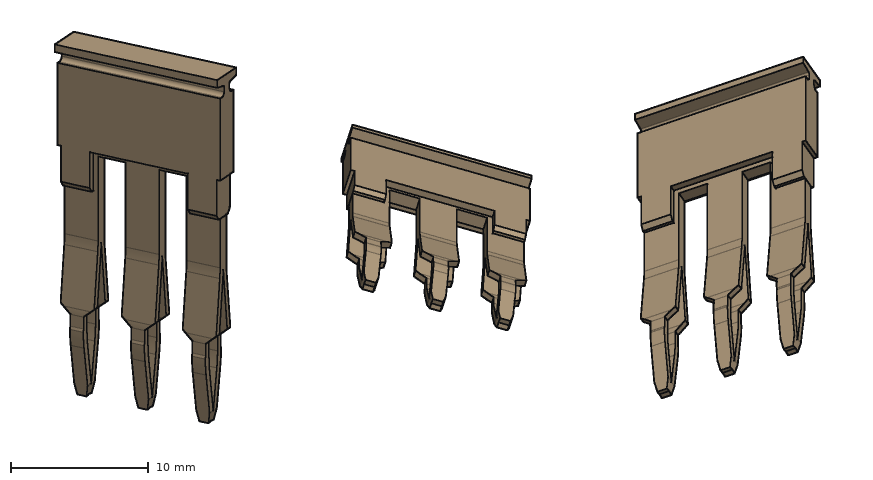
import cadquery as cq
import math


total_height = 27.6
grip_length = 13.6
rim_width = 2.8
rim_edge_z = 27.0
rim_slope = 10.0
neck_width = 0.77
rim_fillet = 0.17
shoulder_fillet = 0.33
body_width = 1.95
body_top_z = 26.0
body_bottom_z = 19.55

ear_inner_x = 4.11
ear_bottom_z = 16.32
ear_chamfer_y = 0.3
ear_chamfer_z = 0.41

leg_count = 3
leg_pitch = 5.1
leg_width = 2.82
leg_thickness = 0.95
bridge_bottom_z = 19.1

blade_thickness = 0.47
slit_top_z = 12.15
upper_bend_top_z = 12.48
upper_bend_bottom_z = 11.65
upper_angle = 6.8
middle_bend_top_z = 7.07
middle_bend_bottom_z = 6.55
step_top_z = 5.6
step_bottom_z = 5.38
step_height = 0.064
lower_bend_bottom_z = 4.1
lower_angle = 9.3
tip_notch_depth = 0.075

blade_shoulder_top_z = 7.25
blade_shoulder_bottom_z = 6.55
pin_width = 1.13
tip_taper_z = 0.95
tip_width = 0.77

ear_outer_x = leg_pitch * (leg_count - 1) / 2 + leg_width / 2


def tan_deg(angle):
    return math.tan(math.radians(angle))


def bend_offset(height, angle):
    """Sideways travel of an arc that starts vertical and turns by angle over height."""
    return height * tan_deg(angle / 2)


def bend_middle(y_vertical, z_vertical, z_end, angle):
    """Point halfway along an arc that curves inwards from vertical at z_vertical."""
    radius = abs(z_end - z_vertical) / math.sin(math.radians(angle))
    half_turn = math.radians(angle / 2)
    rise = math.copysign(radius * math.sin(half_turn), z_end - z_vertical)
    return (y_vertical - radius * (1 - math.cos(half_turn)), z_vertical + rise)


def extrude_along_x(half_profile, length):
    """Mirror a half profile about Y = 0 and extrude it centred on X = 0."""
    return half_profile.mirrorY().extrude(length / 2, both=True)


def make_grip():
    half_neck = neck_width / 2
    half_body = body_width / 2
    half_rim = rim_width / 2

    slope = math.radians(rim_slope)
    tangent_y = half_neck + rim_fillet * (1 - math.sin(slope))
    tangent_z = rim_edge_z - (half_rim - tangent_y) * tan_deg(rim_slope)
    rim_fillet_bottom_z = tangent_z - rim_fillet * math.cos(slope)

    half_profile = (
        cq.Workplane("YZ")
        .moveTo(0, total_height)
        .lineTo(half_rim, total_height)
        .lineTo(half_rim, rim_edge_z)
        .lineTo(tangent_y, tangent_z)
        .tangentArcPoint((half_neck, rim_fillet_bottom_z), relative=False)
        .lineTo(half_neck, body_top_z + shoulder_fillet)
        .tangentArcPoint((half_neck + shoulder_fillet, body_top_z), relative=False)
        .lineTo(half_body, body_top_z)
        .lineTo(half_body, ear_bottom_z + ear_chamfer_z)
        .lineTo(half_body - ear_chamfer_y, ear_bottom_z)
        .lineTo(0, ear_bottom_z)
    )
    grip = extrude_along_x(half_profile, grip_length)

    below_body = body_bottom_z - ear_bottom_z
    gap_z = body_bottom_z - below_body / 2
    gap = cq.Workplane("XY").box(2 * ear_inner_x, body_width, below_body).translate((0, 0, gap_z))
    grip = grip.cut(gap)
    end_step = grip_length / 2 - ear_outer_x
    for side in (-1, 1):
        step_x = side * (ear_outer_x + end_step / 2)
        step = cq.Workplane("XY").box(end_step, body_width, below_body).translate((step_x, 0, gap_z))
        grip = grip.cut(step)
    return grip


def make_leg():
    leg_y = leg_thickness / 2
    spread_y = leg_y + bend_offset(upper_bend_top_z - upper_bend_bottom_z, upper_angle)
    middle_y = spread_y + (upper_bend_bottom_z - middle_bend_top_z) * tan_deg(upper_angle)
    waist_y = middle_y + bend_offset(middle_bend_top_z - middle_bend_bottom_z, upper_angle)
    nose_y = waist_y + step_height
    lower_bend_travel = bend_offset(step_bottom_z - lower_bend_bottom_z, lower_angle)
    closing_y = nose_y - lower_bend_travel
    tip_y = closing_y - lower_bend_bottom_z * tan_deg(lower_angle)

    outer_half = (
        cq.Workplane("YZ")
        .moveTo(0, body_bottom_z)
        .lineTo(leg_y, body_bottom_z)
        .lineTo(leg_y, upper_bend_top_z)
        .tangentArcPoint((spread_y, upper_bend_bottom_z), relative=False)
        .lineTo(middle_y, middle_bend_top_z)
        .tangentArcPoint((waist_y, middle_bend_bottom_z), relative=False)
        .lineTo(waist_y, step_top_z)
        .lineTo(nose_y, step_bottom_z)
        .threePointArc(
            bend_middle(nose_y, step_bottom_z, lower_bend_bottom_z, lower_angle),
            (closing_y, lower_bend_bottom_z),
        )
        .lineTo(tip_y, 0)
        .lineTo(0, tip_notch_depth)
    )
    leg = extrude_along_x(outer_half, leg_width)

    inset_y = blade_thickness * math.cos(math.radians(upper_angle))
    inset_z = blade_thickness * math.sin(math.radians(upper_angle))
    inner_waist_y = waist_y - blade_thickness
    inner_closing_y = inner_waist_y - lower_bend_travel
    slit_bottom_z = lower_bend_bottom_z - inner_closing_y / tan_deg(lower_angle)

    slit_half = (
        cq.Workplane("YZ")
        .moveTo(0, slit_top_z)
        .lineTo(spread_y - inset_y, upper_bend_bottom_z - inset_z)
        .lineTo(middle_y - inset_y, middle_bend_top_z - inset_z)
        .tangentArcPoint((inner_waist_y, middle_bend_bottom_z), relative=False)
        .lineTo(inner_waist_y, step_bottom_z)
        .tangentArcPoint((inner_closing_y, lower_bend_bottom_z), relative=False)
        .lineTo(0, slit_bottom_z)
    )
    leg = leg.cut(extrude_along_x(slit_half, leg_width))

    outline = (
        cq.Workplane("XZ")
        .moveTo(0, body_bottom_z)
        .lineTo(leg_width / 2, body_bottom_z)
        .lineTo(leg_width / 2, blade_shoulder_top_z)
        .lineTo(pin_width / 2, blade_shoulder_bottom_z)
        .lineTo(pin_width / 2, tip_taper_z)
        .lineTo(tip_width / 2, 0)
        .lineTo(0, 0)
        .mirrorY()
        .extrude(rim_width / 2, both=True)
    )
    return leg.intersect(outline)


def make_comb(grip):
    bridge_height = body_bottom_z - bridge_bottom_z
    comb = (
        cq.Workplane("XY")
        .box(2 * ear_inner_x, leg_thickness, bridge_height)
        .translate((0, 0, body_bottom_z - bridge_height / 2))
    )
    leg = make_leg()
    for index in range(leg_count):
        leg_x = (index - (leg_count - 1) / 2) * leg_pitch
        comb = comb.union(leg.translate((leg_x, 0, 0)))
    return comb.cut(grip)


grip = make_grip()
comb = make_comb(grip)

result = cq.Compound.makeCompound([grip.solids().val(), comb.solids().val()])